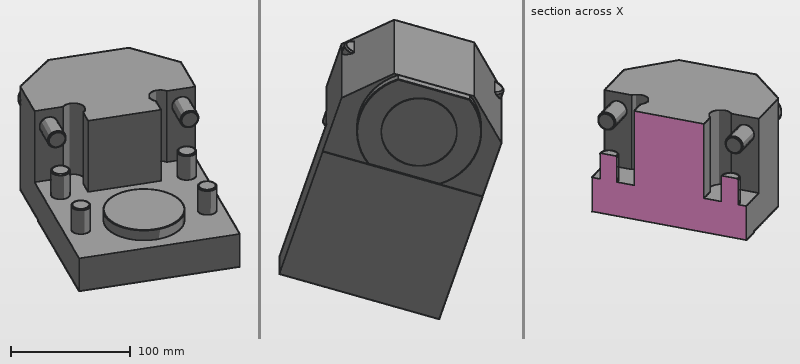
import cadquery as cq

LENGTH = 207.0
WIDTH = 140.0
PLATE_THICKNESS = 32.0
HEAD_TOP = 101.0

NOSE_CHAMFER = 35.0
HEAD_LENGTH = 77.0
TONGUE_END = 105.0
TONGUE_WIDTH = 63.5
RELIEF_RADIUS = 9.5
RELIEF_OFFSET = 6.0

UNDERSIDE_STEP_LENGTH = 87.0
UNDERSIDE_STEP_DEPTH = 1.0

FLANGE_DIAMETER = 104.0
FLANGE_X = 41.7
FLANGE_LENGTH = 83.0
FLANGE_BOTTOM = -7.0
FLANGE_CHAMFER = 0.5
PILOT_DIAMETER = 63.0
PILOT_HEIGHT = 1.0

DISC_DIAMETER = 68.0
DISC_HEIGHT = 10.0
DISC_CHAMFER = 0.5
DISC_X = 161.8

PIN_DIAMETER = 16.0
PIN_LENGTH = 24.0
PIN_CHAMFER = 1.0
PLATE_PIN_SPACING_X = 59.5
PLATE_PIN_Y = 55.0

BOLT_Y = 57.7
BOLT_BELOW_TOP = 15.9
BOLT_END_LENGTH = 24.7
BOLT_HEAD_DIAMETER = 24.0
BOLT_HEAD_X = 26.5
BOLT_HEAD_CHAMFER = 1.4

EMBED = 1.0


def make_body():
    """Plate and raised head with a chamfered nose and a relieved underside."""
    half_width = WIDTH / 2
    profile = [
        (0, UNDERSIDE_STEP_DEPTH),
        (UNDERSIDE_STEP_LENGTH, UNDERSIDE_STEP_DEPTH),
        (UNDERSIDE_STEP_LENGTH, 0),
        (LENGTH, 0),
        (LENGTH, PLATE_THICKNESS),
        (HEAD_LENGTH, PLATE_THICKNESS),
        (HEAD_LENGTH, HEAD_TOP),
        (0, HEAD_TOP),
    ]
    body = cq.Workplane("XZ").polyline(profile).close().extrude(half_width, both=True)
    return body.faces("<X").edges("|Z").chamfer(NOSE_CHAMFER)


def add_tongue(body):
    """Central tongue on the head, with round reliefs in its inner corners."""
    head_height = HEAD_TOP - PLATE_THICKNESS
    tongue = (
        cq.Workplane("XY")
        .workplane(offset=PLATE_THICKNESS)
        .moveTo((HEAD_LENGTH + TONGUE_END) / 2, 0)
        .rect(TONGUE_END - HEAD_LENGTH, TONGUE_WIDTH)
        .extrude(head_height)
    )
    relief_y = TONGUE_WIDTH / 2 + RELIEF_OFFSET
    reliefs = (
        cq.Workplane("XY")
        .workplane(offset=PLATE_THICKNESS)
        .pushPoints([(HEAD_LENGTH + RELIEF_OFFSET, side * relief_y) for side in (-1, 1)])
        .circle(RELIEF_RADIUS)
        .extrude(head_height)
    )
    return body.union(tongue).cut(reliefs)


def make_flange():
    """Round flange under the head, flatted at both X ends, with a shallow pilot."""
    height = UNDERSIDE_STEP_DEPTH - FLANGE_BOTTOM
    base = cq.Workplane("XY").workplane(offset=FLANGE_BOTTOM).center(FLANGE_X, 0)
    flats = base.rect(FLANGE_LENGTH, FLANGE_DIAMETER).extrude(height + EMBED)
    flange = (
        base.circle(FLANGE_DIAMETER / 2)
        .extrude(height + EMBED)
        .intersect(flats)
        .faces("<Z")
        .chamfer(FLANGE_CHAMFER)
    )
    pilot = base.circle(PILOT_DIAMETER / 2).extrude(-PILOT_HEIGHT)
    return flange.union(pilot)


def make_plate_disc():
    """Low locating disc standing on the plate."""
    return (
        cq.Workplane("XY")
        .workplane(offset=PLATE_THICKNESS - EMBED)
        .center(DISC_X, 0)
        .circle(DISC_DIAMETER / 2)
        .extrude(DISC_HEIGHT + EMBED)
        .faces(">Z")
        .chamfer(DISC_CHAMFER)
    )


def make_plate_pin(x, y):
    """Upright pin on the plate."""
    return (
        cq.Workplane("XY")
        .workplane(offset=PLATE_THICKNESS - EMBED)
        .center(x, y)
        .circle(PIN_DIAMETER / 2)
        .extrude(PIN_LENGTH + EMBED)
        .faces(">Z")
        .chamfer(PIN_CHAMFER)
    )


def make_bolt(y):
    """Bolt along X: its head breaks out of the nose chamfer, its end leaves the head."""
    axis_z = HEAD_TOP - BOLT_BELOW_TOP
    head = (
        cq.Workplane("YZ")
        .workplane(offset=BOLT_HEAD_X)
        .center(y, axis_z)
        .circle(BOLT_HEAD_DIAMETER / 2)
        .extrude(NOSE_CHAMFER - BOLT_HEAD_X + EMBED)
        .faces("<X")
        .chamfer(BOLT_HEAD_CHAMFER)
    )
    shank_end = (
        cq.Workplane("YZ")
        .workplane(offset=HEAD_LENGTH - EMBED)
        .center(y, axis_z)
        .circle(PIN_DIAMETER / 2)
        .extrude(BOLT_END_LENGTH + EMBED)
        .faces(">X")
        .chamfer(PIN_CHAMFER)
    )
    return head.union(shank_end)


result = add_tongue(make_body()).union(make_flange()).union(make_plate_disc())
for side in (-1, 1):
    for pin_x in (DISC_X - PLATE_PIN_SPACING_X, DISC_X):
        result = result.union(make_plate_pin(pin_x, side * PLATE_PIN_Y))
    result = result.union(make_bolt(side * BOLT_Y))